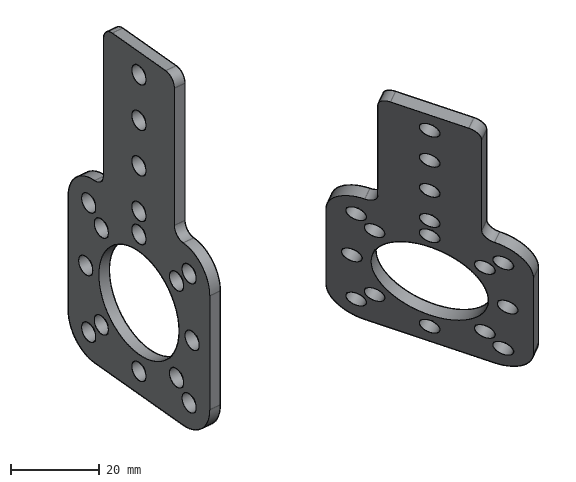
import cadquery as cq
import math

total_height = 95.25
body_size = 50.8
thickness = 3.1
body_corner_radius = 9.5

tab_width = 25.4
tab_corner_radius = 3.1

bore_diameter = 28.7
hole_diameter = 5.05
inner_circle_radius = 19.05
outer_circle_radius = 25.4
tab_hole_count = 4
tab_hole_spacing = 12.7
tab_hole_top_margin = 6.4

half_body = body_size / 2
half_tab = tab_width / 2
tab_top = total_height - half_body
neck_radius = half_body - half_tab - body_corner_radius


def plate():
    """Half outline from bottom centre to top centre, mirrored about the vertical axis."""
    corner_start = half_body - body_corner_radius
    return (
        cq.Workplane("XZ")
        .moveTo(0, -half_body)
        .lineTo(corner_start, -half_body)
        .radiusArc((half_body, -corner_start), -body_corner_radius)
        .lineTo(half_body, corner_start)
        .radiusArc((corner_start, half_body), -body_corner_radius)
        .radiusArc((half_tab, half_body + neck_radius), neck_radius)
        .lineTo(half_tab, tab_top - tab_corner_radius)
        .radiusArc((half_tab - tab_corner_radius, tab_top), -tab_corner_radius)
        .lineTo(0, tab_top)
        .mirrorY()
        .extrude(thickness / 2, both=True)
    )


def circle_points(radius, count, start_angle):
    """Evenly spaced points around the bore centre; angles in degrees."""
    angles = [math.radians(start_angle + i * 360 / count) for i in range(count)]
    return [(radius * math.cos(a), radius * math.sin(a)) for a in angles]


def through_holes(points, diameter):
    """Cylinders that pass through the whole plate thickness."""
    return (
        cq.Workplane("XZ")
        .pushPoints(points)
        .circle(diameter / 2)
        .extrude(thickness, both=True)
    )


tab_hole_points = [
    (0, tab_top - tab_hole_top_margin - i * tab_hole_spacing) for i in range(tab_hole_count)
]
small_hole_points = (
    circle_points(inner_circle_radius, 8, 0)
    + circle_points(outer_circle_radius, 4, 45)
    + tab_hole_points
)

result = (
    plate()
    .cut(through_holes([(0, 0)], bore_diameter))
    .cut(through_holes(small_hole_points, hole_diameter))
)